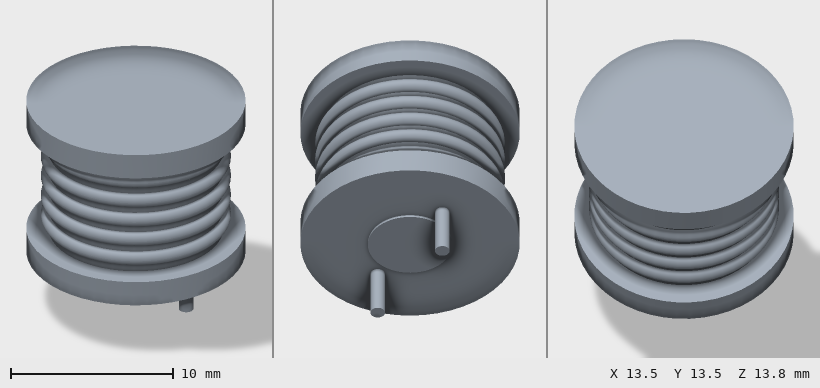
import cadquery as cq

total_height = 13.85
flange_diameter = 13.5

pin_length = 3.19
flange_thickness = 1.65
core_diameter = 10.8
bobbin_height = total_height - pin_length
upper_flange_base = bobbin_height - flange_thickness

wire_diameter = 0.9
turn_count = 5
turn_pitch = 1.37
turn_center_diameter = core_diameter
first_turn_height = 2.6

pad_diameter = 5.2
pad_height = 0.15
pin_diameter = wire_diameter
pin_spacing = 6.98


def disc(diameter, base, height):
    """Upright cylinder on the Z axis, starting at the given base height."""
    return cq.Workplane("XY").workplane(offset=base).circle(diameter / 2).extrude(height)


def wire_turn(height):
    """One closed ring of wire centred on the Z axis."""
    return (
        cq.Workplane("XZ")
        .center(turn_center_diameter / 2, height)
        .circle(wire_diameter / 2)
        .revolve(360, (-turn_center_diameter / 2, 0), (-turn_center_diameter / 2, 1))
    )


result = disc(core_diameter, 0, bobbin_height)
for flange_base in (0, upper_flange_base):
    result = result.union(disc(flange_diameter, flange_base, flange_thickness))

for turn in range(turn_count):
    result = result.union(wire_turn(first_turn_height + turn * turn_pitch))

result = result.union(disc(pad_diameter, 0, -pad_height))
pins = (
    cq.Workplane("XY")
    .pushPoints([(-pin_spacing / 2, 0), (pin_spacing / 2, 0)])
    .circle(pin_diameter / 2)
    .extrude(-pin_length)
)
result = result.union(pins)